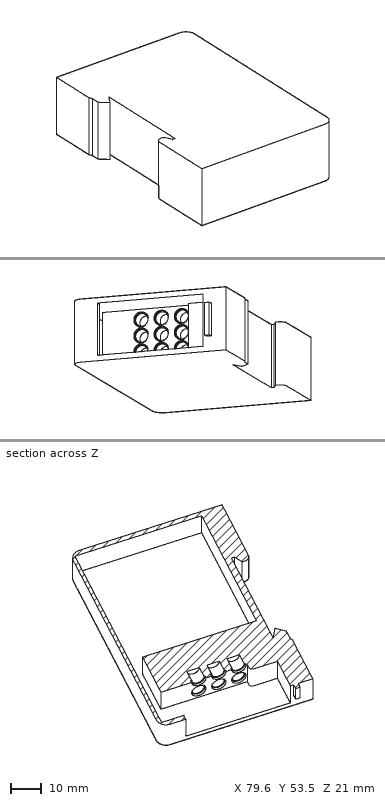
import cadquery as cq

overall_length = 79.6
body_depth = 53.5
body_height = 21.0
corner_radius = 3.5

latch_reach = 1.7
latch_length = 10.8
latch_low_y = 4.9
latch_high_y = 6.8
latch_taper = 0.2

body_length = overall_length - latch_reach
mid_height = body_height / 2

notch_depth = 5.5
notch_start_x = 20.85
notch_end_x = 56.2
point_tip_x = 24.2
point_tip_y = 3.5
point_base_x = 21.8
point_bevel = 0.2
relief_start_x = 17.35
relief_end_x = 18.6
relief_depth = 0.5
round_foot_x = 53.4
round_foot_radius = 2.0
round_foot_shoulder_y = 3.0
notch_end_wall_y = 4.5

wall = 1.8
end_wall = 1.9
back_wall = 1.35
opening_low_y = 8.0
opening_high_y = 44.4
cavity_high_y = body_depth - back_wall
cavity_height = body_height - 2 * wall

block_face_x = 13.4
block_overlap = 3.35
block_depth = 15.9
block_high_y = opening_high_y + block_overlap
ledge_high_y = 17.5
ledge_step = 2.4
ledge_radius = 1.1

socket_count = 3
socket_pitch_y = 7.0
socket_pitch_z = 5.3
socket_mid_y = 27.5
rim_diameter = 4.9
rim_depth = 0.8
bore_diameter = 4.2
bore_depth = 4.8


def make_box(x_range, y_range, height):
    """Box over the given X and Y ranges, centred on the middle height."""
    (x0, x1), (y0, y1) = x_range, y_range
    box = cq.Workplane("XY").box(x1 - x0, y1 - y0, height, centered=(False, False, True))
    return box.translate((x0, y0, mid_height))


def make_body():
    """Solid housing with the rail notch and the two rounded far corners."""
    outline = (
        cq.Workplane("XY")
        .lineTo(relief_start_x, 0)
        .lineTo(relief_end_x, relief_depth)
        .lineTo(point_base_x - point_bevel, relief_depth)
        .lineTo(point_base_x, relief_depth + point_bevel)
        .lineTo(point_tip_x, point_tip_y)
        .lineTo(notch_start_x, notch_depth)
        .lineTo(notch_end_x, notch_depth)
        .lineTo(notch_end_x, notch_end_wall_y)
        .lineTo(round_foot_x, round_foot_shoulder_y)
        .lineTo(round_foot_x, round_foot_radius)
        .radiusArc((round_foot_x + round_foot_radius, 0), -round_foot_radius)
        .lineTo(body_length, 0)
        .lineTo(body_length, body_depth)
        .lineTo(0, body_depth)
        .close()
    )
    return outline.extrude(body_height).edges("|Z and >Y").fillet(corner_radius)


def make_cavity():
    """Hollow interior together with its opening through the connector end."""
    interior = make_box((end_wall, body_length - end_wall), (opening_low_y, cavity_high_y), cavity_height)
    opening = make_box((0, end_wall), (opening_low_y, opening_high_y), cavity_height)
    return interior.union(opening)


def make_sockets():
    """Grid of stepped round sockets sunk into the block face."""
    centres = (
        cq.Workplane("YZ", origin=(block_face_x, socket_mid_y, mid_height))
        .rarray(socket_pitch_y, socket_pitch_z, socket_count, socket_count)
    )
    rims = centres.circle(rim_diameter / 2).extrude(rim_depth)
    bores = centres.circle(bore_diameter / 2).extrude(bore_depth)
    return rims.union(bores)


def make_terminal_block():
    """Block across the full cavity height, with a round-edged ledge in front and the sockets."""
    block_end_x = block_face_x + block_depth
    block = make_box((block_face_x, block_end_x), (opening_low_y, block_high_y), cavity_height)
    ledge = make_box((block_face_x - ledge_step, block_end_x), (opening_low_y, ledge_high_y), cavity_height)
    ledge = ledge.edges("|Z and <X and >Y").fillet(ledge_radius)
    return block.union(ledge).cut(make_sockets())


def make_latch():
    """Latch bar whose lower face tapers toward its tip."""
    return (
        cq.Workplane("XY", origin=(0, 0, mid_height))
        .moveTo(0, latch_low_y)
        .lineTo(-latch_reach, latch_low_y + latch_taper)
        .lineTo(-latch_reach, latch_high_y)
        .lineTo(0, latch_high_y)
        .close()
        .extrude(latch_length / 2, both=True)
    )


result = make_body().cut(make_cavity()).union(make_terminal_block()).union(make_latch())